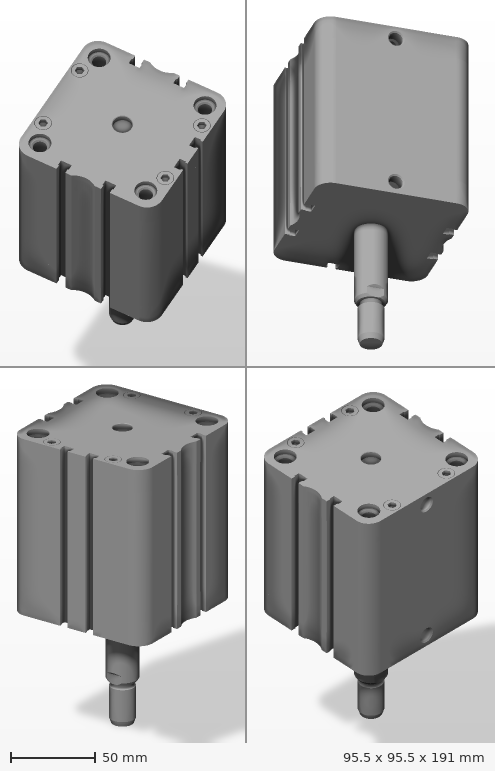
import cadquery as cq
import math

WIDTH = 95.5
HALF = WIDTH / 2
CORNER_RADIUS = 10.1
ROD_CAP_HEIGHT = 15.5
BARREL_HEIGHT = 84.0
END_CAP_HEIGHT = 14.7
BARREL_BOTTOM = ROD_CAP_HEIGHT
BARREL_TOP = BARREL_BOTTOM + BARREL_HEIGHT
TOP = BARREL_TOP + END_CAP_HEIGHT

Y_SLOT = {"mouth": 6.0, "inner": 7.3, "lip": 3.0, "depth": 6.7}
Y_SLOT_OFFSET = 15.0
X_SLOT = {"mouth": 5.3, "inner": 7.0, "lip": 1.5, "depth": 5.7}
X_SLOT_OFFSET = 9.2

GROOVE_RADIUS = 13.8
GROOVE_DEPTH = 2.5
GROOVE_HALF_WIDTH = math.sqrt(GROOVE_RADIUS**2 - (GROOVE_RADIUS - GROOVE_DEPTH) ** 2)
LAND_ROUNDING = 0.4

MOUNT_OFFSET = 36.0
MOUNT_BORE_DIAMETER = 8.4
MOUNT_CHAMFER_DIAMETER = 10.3
MOUNT_RECESS_DIAMETER = 13.5
MOUNT_RECESS_DEPTH = 3.5
SCREW_X = 41.5
SCREW_Y = 22.2
SCREW_HEAD_DIAMETER = 9.7
SCREW_RECESS_DIAMETER = 10.3
SCREW_RECESS_DEPTH = 5.0
SOCKET_ACROSS_FLATS = 5.0
SOCKET_DEPTH = 2.9
CENTRE_RECESS_DIAMETER = 12.0
CENTRE_RECESS_DEPTH = 4.0
CENTRE_CHAMFER = 0.4

PORT_INSET = 8.0
PORT_DIAMETER = 8.5
PORT_CHAMFER_DIAMETER = 10.3
PORT_DEPTH = 8.0
PORT_PASSAGE_DIAMETER = 5.0
PORT_PASSAGE_LENGTH = 3.8

ROD_RADIUS = 20.0 / 2
ROD_END = 76.8
SHOULDER = 49.3
SHOULDER_CHAMFER_LENGTH = 2.0
SHOULDER_RADIUS = 17.4 / 2
NECK_RADIUS = 13.5 / 2
NECK_END = 52.7
THREAD_RADIUS = 16.0 / 2
NECK_FILLET = THREAD_RADIUS - NECK_RADIUS
THREAD_CHAMFER_LENGTH = 3.5
ROD_TIP_RADIUS = 13.5 / 2
WRENCH_ACROSS_FLATS = 17.0
WRENCH_FLAT_TOP = 43.0


def slot_cutter(size, height):
    """T-slot prism opening through the +Y face, centred on X = 0."""
    mouth = size["mouth"] / 2
    inner = size["inner"] / 2
    lip_y = HALF - size["lip"]
    floor_y = HALF - size["depth"]
    return (
        cq.Workplane("XY")
        .moveTo(-mouth, HALF)
        .lineTo(-mouth, lip_y)
        .lineTo(-inner, lip_y)
        .lineTo(-inner, floor_y)
        .lineTo(inner, floor_y)
        .lineTo(inner, lip_y)
        .lineTo(mouth, lip_y)
        .lineTo(mouth, HALF)
        .close()
        .extrude(height)
    )


def profile_block(height):
    """Rounded square block with the slots and grooves running its full height."""
    block = cq.Workplane("XY").rect(WIDTH, WIDTH).extrude(height).edges("|Z").fillet(CORNER_RADIUS)
    y_slot = slot_cutter(Y_SLOT, height)
    groove_axis_y = HALF + GROOVE_RADIUS - GROOVE_DEPTH
    groove = cq.Workplane("XY").center(0, groove_axis_y).circle(GROOVE_RADIUS).extrude(height)
    for turn in (0, 180):
        block = block.cut(groove.rotate((0, 0, 0), (0, 0, 1), turn))
        for x in (-Y_SLOT_OFFSET, Y_SLOT_OFFSET):
            block = block.cut(y_slot.translate((x, 0, 0)).rotate((0, 0, 0), (0, 0, 1), turn))
    x_slot = slot_cutter(X_SLOT, height).rotate((0, 0, 0), (0, 0, 1), -90)
    for y in (-X_SLOT_OFFSET, X_SLOT_OFFSET):
        block = block.cut(x_slot.translate((0, y, 0)))
    return block


def port_cutter(z):
    """Blind air port entering from the -X face, with a countersunk mouth."""
    mouth = cq.Workplane("YZ", origin=(-HALF, 0, z))
    chamfer_length = (PORT_CHAMFER_DIAMETER - PORT_DIAMETER) / 2
    port = mouth.circle(PORT_DIAMETER / 2).extrude(PORT_DEPTH)
    countersink = cq.Solid.makeCone(
        PORT_CHAMFER_DIAMETER / 2,
        PORT_DIAMETER / 2,
        chamfer_length,
        cq.Vector(-HALF, 0, z),
        cq.Vector(1, 0, 0),
    )
    return port.union(cq.Workplane(countersink))


def mount_hole_cutter():
    """Recessed, countersunk hole running down through the whole end cap."""
    recess_floor = TOP - MOUNT_RECESS_DEPTH
    chamfer_length = (MOUNT_CHAMFER_DIAMETER - MOUNT_BORE_DIAMETER) / 2
    return (
        cq.Workplane("XZ")
        .moveTo(0, TOP)
        .lineTo(MOUNT_RECESS_DIAMETER / 2, TOP)
        .lineTo(MOUNT_RECESS_DIAMETER / 2, recess_floor)
        .lineTo(MOUNT_CHAMFER_DIAMETER / 2, recess_floor)
        .lineTo(MOUNT_BORE_DIAMETER / 2, recess_floor - chamfer_length)
        .lineTo(MOUNT_BORE_DIAMETER / 2, BARREL_TOP)
        .lineTo(0, BARREL_TOP)
        .close()
        .revolve(360, (0, 0, 0), (0, 1, 0))
    )


def screw_head_cutter():
    """Ring gap around a flush screw head, plus its hexagon socket."""
    top = cq.Workplane("XY", origin=(0, 0, TOP))
    gap = top.circle(SCREW_RECESS_DIAMETER / 2).circle(SCREW_HEAD_DIAMETER / 2).extrude(-SCREW_RECESS_DEPTH)
    across_corners = SOCKET_ACROSS_FLATS / math.cos(math.pi / 6)
    socket = top.polygon(6, across_corners).extrude(-SOCKET_DEPTH).rotate((0, 0, 0), (0, 0, 1), 90)
    return gap.union(socket)


def make_end_cap():
    """Closed cap with mounting holes, screw heads, a centring recess and an air port."""
    cap = profile_block(END_CAP_HEIGHT).translate((0, 0, BARREL_TOP))
    mount_hole = mount_hole_cutter()
    screw_head = screw_head_cutter()
    for x_side in (-1, 1):
        for y_side in (-1, 1):
            cap = cap.cut(mount_hole.translate((x_side * MOUNT_OFFSET, y_side * MOUNT_OFFSET, 0)))
            cap = cap.cut(screw_head.translate((x_side * SCREW_X, y_side * SCREW_Y, 0)))
    top = cq.Workplane("XY", origin=(0, 0, TOP))
    recess = top.circle(CENTRE_RECESS_DIAMETER / 2).extrude(-CENTRE_RECESS_DEPTH)
    recess_rim = cq.Solid.makeCone(
        CENTRE_RECESS_DIAMETER / 2,
        CENTRE_RECESS_DIAMETER / 2 + CENTRE_CHAMFER,
        CENTRE_CHAMFER,
        cq.Vector(0, 0, TOP - CENTRE_CHAMFER),
    )
    cap = cap.cut(recess).cut(cq.Workplane(recess_rim))
    port_z = TOP - PORT_INSET
    passage = (
        cq.Workplane("YZ", origin=(-HALF, 0, port_z))
        .circle(PORT_PASSAGE_DIAMETER / 2)
        .extrude(PORT_DEPTH + PORT_PASSAGE_LENGTH)
    )
    return cap.cut(port_cutter(port_z)).cut(passage)


def make_barrel():
    """Extruded barrel; the lands beside its round grooves have rounded edges."""
    barrel = profile_block(BARREL_HEIGHT)
    slot_edge = Y_SLOT_OFFSET - Y_SLOT["mouth"] / 2
    mid_height = BARREL_HEIGHT / 2
    for y in (-HALF, HALF):
        for x in (-slot_edge, -GROOVE_HALF_WIDTH, GROOVE_HALF_WIDTH, slot_edge):
            edge = cq.selectors.NearestToPointSelector((x, y, mid_height))
            barrel = barrel.edges("|Z").edges(edge).fillet(LAND_ROUNDING)
    return barrel.translate((0, 0, BARREL_BOTTOM))


def make_rod_cap():
    """Cap with the rod bore through it and an air port."""
    rod_bore = cq.Workplane("XY").circle(ROD_RADIUS).extrude(ROD_CAP_HEIGHT)
    return profile_block(ROD_CAP_HEIGHT).cut(rod_bore).cut(port_cutter(PORT_INSET))


def make_rod():
    """Stepped rod running from the barrel through the rod-side cap to its threaded tip."""
    rod = (
        cq.Workplane("XZ")
        .moveTo(0, BARREL_BOTTOM)
        .lineTo(ROD_RADIUS, BARREL_BOTTOM)
        .lineTo(ROD_RADIUS, -SHOULDER + SHOULDER_CHAMFER_LENGTH)
        .lineTo(SHOULDER_RADIUS, -SHOULDER)
        .lineTo(NECK_RADIUS, -SHOULDER)
        .lineTo(NECK_RADIUS, -NECK_END + NECK_FILLET)
        .radiusArc((THREAD_RADIUS, -NECK_END), -NECK_FILLET)
        .lineTo(THREAD_RADIUS, -ROD_END + THREAD_CHAMFER_LENGTH)
        .lineTo(ROD_TIP_RADIUS, -ROD_END)
        .lineTo(0, -ROD_END)
        .close()
        .revolve(360, (0, 0, 0), (0, 1, 0))
    )
    flat_x = WRENCH_ACROSS_FLATS / 2
    flat_depth = ROD_RADIUS - flat_x
    flat_cutter = (
        cq.Workplane("XZ")
        .moveTo(flat_x, -SHOULDER)
        .lineTo(flat_x, -WRENCH_FLAT_TOP)
        .lineTo(ROD_RADIUS, -WRENCH_FLAT_TOP + flat_depth)
        .lineTo(ROD_RADIUS, -SHOULDER)
        .close()
        .extrude(ROD_RADIUS, both=True)
    )
    return rod.cut(flat_cutter).cut(flat_cutter.mirror("YZ"))


end_cap = make_end_cap()
barrel = make_barrel()
rod_cap = make_rod_cap()
rod = make_rod()

bodies = [end_cap, barrel, rod_cap, rod]
result = cq.Compound.makeCompound([body.solids().val() for body in bodies])